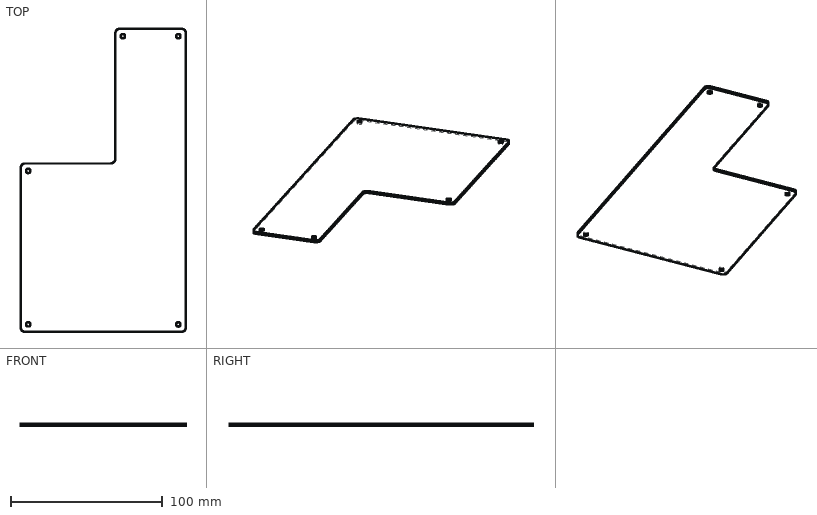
import cadquery as cq

width = 109.0
length = 200.0
thickness = 1.5

arm_width = 46.5
base_length = 111.2
corner_radius = 3.0

hole_diameter = 2.8
hole_inset = 5.0

arm_left = width - arm_width


def make_plate():
    """L-shaped plate with every upright edge rounded, the inner corner included."""
    outline = [
        (0, 0),
        (width, 0),
        (width, length),
        (arm_left, length),
        (arm_left, base_length),
        (0, base_length),
    ]
    plate = cq.Workplane("XY").polyline(outline).close().extrude(thickness)
    return plate.edges("|Z").fillet(corner_radius)


def drill_mounting_holes(plate):
    """Through holes set in equally from both edges at each outer corner."""
    left = hole_inset
    right = width - hole_inset
    bottom = hole_inset
    top = length - hole_inset
    centers = [
        (left, bottom),
        (right, bottom),
        (right, top),
        (arm_left + hole_inset, top),
        (left, base_length - hole_inset),
    ]
    drills = cq.Workplane("XY").pushPoints(centers).circle(hole_diameter / 2).extrude(thickness)
    return plate.cut(drills)


result = drill_mounting_holes(make_plate())